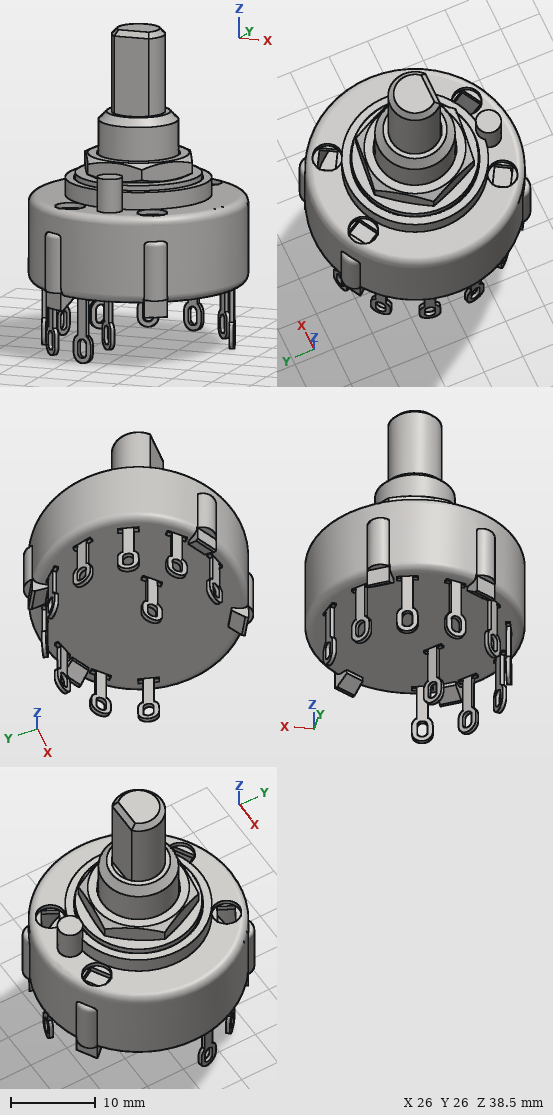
import cadquery as cq
import math


body_diameter = 26.0
body_bottom = 7.97
body_top = 18.45
body_edge_radius = 1.0

wall_thickness = 1.0
floor_thickness = 1.0
lid_thickness = 1.25

flange_diameter = 17.32
flange_top = 20.52
seat_diameter = 15.3
seat_depth = 0.25
washer_diameter = 15.0
washer_top = 21.1

nut_top = 23.5
nut_across_flats = 12.35
nut_face_diameter = 12.0
nut_bore_diameter = 9.8
nut_turn = -6.0
nut_chamfer_slope = math.radians(27.0)

bushing_diameter = 9.47
bushing_top = 28.5
bushing_chamfer = 0.95
shaft_diameter = 6.35
shaft_top = 38.5
shaft_chamfer = 0.65
shaft_flat_offset = 2.3
shaft_flat_sink = 0.95

pin_diameter = 3.0
pin_offset = 9.5
pin_top = 22.5

clip_angles = (60, 120, 240, 300)
window_offset = 10.4
counterbore_diameter = 3.55
counterbore_depth = 0.58
window_length = 2.8
window_width = math.sqrt(counterbore_diameter**2 - window_length**2)
rib_radius = 1.6
rib_offset = 12.1
rib_top = 15.5
rib_edge_radius = 0.5
rib_bottom = 8.47
foot_outer_width = 2.77
foot_inner_width = 2.45
foot_outer = 12.95
foot_tip_inner = 12.55
foot_root_inner = 10.95
foot_tip_bottom = 6.3
foot_hook_top = 7.45

terminal_angles = range(15, 256, 30)
terminal_offset = 11.13
common_angle = 225
common_offset = 3.9
terminal_thickness = 0.5
stem_width = 1.3
eye_width = 2.5
eye_height = 3.55
eye_hole_width = 1.25
shoulder_bottom = 7.75

embed = 0.4


def cylinder(diameter, bottom, top):
    return cq.Workplane("XY").workplane(offset=bottom).circle(diameter / 2).extrude(top - bottom)


def box(x_min, x_max, width, bottom, top):
    """Box centred on Y = 0."""
    block = cq.Workplane("XY").box(x_max - x_min, width, top - bottom, centered=(False, True, False))
    return block.translate((x_min, 0, bottom))


def turned(shape, angle):
    return shape.rotate((0, 0, 0), (0, 0, 1), angle)


def make_housing():
    body = cylinder(body_diameter, body_bottom, body_top).edges().fillet(body_edge_radius)
    flange = cylinder(flange_diameter, body_top - embed, flange_top)
    seat = cylinder(seat_diameter, flange_top - seat_depth, flange_top)
    washer = cylinder(washer_diameter, flange_top - seat_depth - embed, washer_top)
    pin = cylinder(pin_diameter, body_top - embed, pin_top).translate((0, -pin_offset, 0))
    return body.union(flange).cut(seat).union(washer).union(pin)


def make_cavity():
    cavity_diameter = body_diameter - 2 * wall_thickness
    return cylinder(cavity_diameter, body_bottom + floor_thickness, body_top - lid_thickness)


def make_nut():
    across_corners = nut_across_flats / math.cos(math.pi / 6)
    height = nut_top - washer_top
    face_radius = nut_face_diameter / 2
    corner_radius = across_corners / 2
    chamfer_height = (corner_radius - face_radius) * math.tan(nut_chamfer_slope)
    hexagon = cq.Workplane("XY").polygon(6, across_corners).extrude(height)
    envelope = (
        cq.Workplane("XZ")
        .moveTo(0, 0)
        .lineTo(face_radius, 0)
        .lineTo(corner_radius, chamfer_height)
        .lineTo(corner_radius, height - chamfer_height)
        .lineTo(face_radius, height)
        .lineTo(0, height)
        .close()
        .revolve(360, (0, 0, 0), (0, 1, 0))
    )
    bore = cylinder(nut_bore_diameter, 0, height)
    return turned(hexagon.intersect(envelope).cut(bore), nut_turn).translate((0, 0, washer_top))


def make_bushing_and_shaft():
    bushing = cylinder(bushing_diameter, washer_top - embed, bushing_top)
    bushing = bushing.faces(">Z").chamfer(bushing_chamfer)
    flat_bottom = bushing_top - shaft_flat_sink
    bushing = bushing.cut(cylinder(shaft_diameter, flat_bottom, bushing_top))
    shaft = cylinder(shaft_diameter, flat_bottom - embed, shaft_top)
    flat_cut = (
        cq.Workplane("XY")
        .box(shaft_diameter, shaft_diameter, shaft_top - flat_bottom, centered=(True, False, False))
        .translate((0, -shaft_flat_offset - shaft_diameter, flat_bottom))
    )
    shaft = shaft.cut(flat_cut).faces(">Z").chamfer(shaft_chamfer)
    return bushing.union(shaft)


def make_clip_window():
    """Counterbore over a rectangular window through the lid."""
    counterbore = cylinder(counterbore_diameter, body_top - counterbore_depth, body_top)
    window = box(-window_width / 2, window_width / 2, window_length, body_top - lid_thickness, body_top)
    return counterbore.union(window).translate((window_offset, 0, 0))


def make_clip():
    """Rounded side rib ending in a hooked foot that narrows inward below the housing."""
    rib = cylinder(2 * rib_radius, rib_bottom, rib_top).faces(">Z").edges().fillet(rib_edge_radius)
    rib = rib.translate((rib_offset, 0, 0))
    foot_profile = (
        cq.Workplane("XZ")
        .moveTo(foot_outer, rib_bottom)
        .lineTo(foot_outer, foot_tip_bottom)
        .lineTo(foot_tip_inner, foot_tip_bottom)
        .lineTo(foot_root_inner, foot_hook_top)
        .lineTo(foot_root_inner, rib_bottom)
        .close()
        .extrude(foot_outer_width / 2, both=True)
    )
    foot_plan = (
        cq.Workplane("XY")
        .workplane(offset=foot_tip_bottom)
        .moveTo(foot_outer, -foot_outer_width / 2)
        .lineTo(foot_outer, foot_outer_width / 2)
        .lineTo(foot_root_inner, foot_inner_width / 2)
        .lineTo(foot_root_inner, -foot_inner_width / 2)
        .close()
        .extrude(rib_bottom - foot_tip_bottom)
    )
    return rib.union(foot_profile.intersect(foot_plan))


def make_terminal(offset):
    """Flat stem with a shoulder at the housing and a slotted solder eye at the tip."""
    half_thickness = terminal_thickness / 2
    eye_plane = cq.Workplane("YZ").center(0, eye_height / 2)
    eye = eye_plane.slot2D(eye_height, eye_width, 90).extrude(half_thickness, both=True)
    wall = (eye_width - eye_hole_width) / 2
    eye_hole = eye_plane.slot2D(eye_height - 2 * wall, eye_hole_width, 90).extrude(half_thickness, both=True)
    stem_top = body_bottom + embed
    stem = box(-half_thickness, half_thickness, stem_width, eye_height / 2, stem_top)
    shoulder = box(-half_thickness, half_thickness, eye_width, shoulder_bottom, stem_top)
    return eye.union(stem).cut(eye_hole).union(shoulder).translate((offset, 0, 0))


result = make_housing().union(make_nut()).union(make_bushing_and_shaft())

for angle in clip_angles:
    result = result.cut(turned(make_clip_window(), angle)).union(turned(make_clip(), angle))
result = result.cut(make_cavity())

for angle in terminal_angles:
    result = result.union(turned(make_terminal(terminal_offset), angle))
result = result.union(turned(make_terminal(common_offset), common_angle))